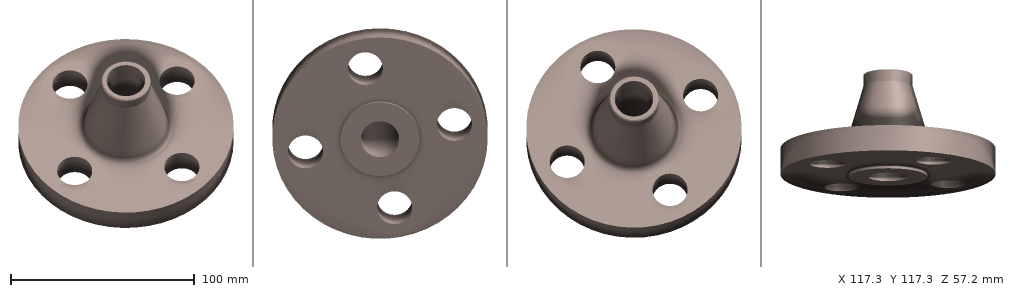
import cadquery as cq
import math

flange_diameter = 117.35
flange_thickness = 14.1
raised_face_diameter = 42.9
raised_face_height = 1.6

total_height = 57.21
bore_diameter = 20.96

hub_base_diameter = 47.6
hub_fillet_radius = 3.0
neck_diameter = 26.7
neck_length = 6.5
bevel_width = 0.7
bevel_angle = 37.5

bolt_hole_count = 4
bolt_hole_diameter = 19.1
bolt_circle_diameter = 82.6

flange_top = raised_face_height + flange_thickness
neck_start = total_height - neck_length
bevel_height = bevel_width * math.tan(math.radians(bevel_angle))


def make_flange():
    """Disc with the raised sealing face underneath."""
    raised_face = cq.Workplane("XY").circle(raised_face_diameter / 2).extrude(raised_face_height)
    disc = (
        cq.Workplane("XY", origin=(0, 0, raised_face_height))
        .circle(flange_diameter / 2)
        .extrude(flange_thickness)
    )
    return raised_face.union(disc)


def make_hub():
    """Tapered hub, filleted into the flange top, with a short neck bevelled at its end."""
    neck_radius = neck_diameter / 2
    hub_base_radius = hub_base_diameter / 2
    taper = math.atan2(hub_base_radius - neck_radius, neck_start - flange_top)

    tangent_length = hub_fillet_radius * math.tan((math.pi / 2 - taper) / 2)
    fillet_foot = (hub_base_radius + tangent_length, flange_top)
    fillet_top = (
        hub_base_radius - tangent_length * math.sin(taper),
        flange_top + tangent_length * math.cos(taper),
    )
    fillet_centre = (fillet_foot[0], flange_top + hub_fillet_radius)
    middle_angle = (math.pi / 2 + taper) / 2
    fillet_middle = (
        fillet_centre[0] - hub_fillet_radius * math.cos(middle_angle),
        fillet_centre[1] - hub_fillet_radius * math.sin(middle_angle),
    )

    return (
        cq.Workplane("XZ")
        .moveTo(0, flange_top)
        .lineTo(*fillet_foot)
        .threePointArc(fillet_middle, fillet_top)
        .lineTo(neck_radius, neck_start)
        .lineTo(neck_radius, total_height - bevel_height)
        .lineTo(neck_radius - bevel_width, total_height)
        .lineTo(0, total_height)
        .close()
        .revolve(360, (0, 0, 0), (0, 1, 0))
    )


def make_bore():
    """Straight bore through the whole height."""
    return cq.Workplane("XY").circle(bore_diameter / 2).extrude(total_height)


def make_bolt_holes():
    """Bolt holes through the flange, on the X and Y axes."""
    return (
        cq.Workplane("XY")
        .polarArray(bolt_circle_diameter / 2, 0, 360, bolt_hole_count)
        .circle(bolt_hole_diameter / 2)
        .extrude(flange_top)
    )


result = make_flange().union(make_hub()).cut(make_bore()).cut(make_bolt_holes())